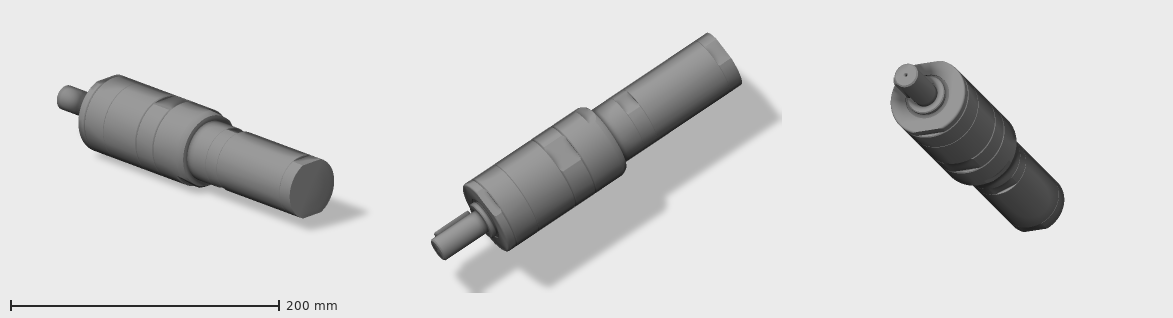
import cadquery as cq

LENGTH = 263.0

SHAFT_DIAMETER = 19.0
SHAFT_NECK_DIAMETER = 18.7
SHAFT_NECK_START = 36.0
SHAFT_CHAMFER = 1.0
CENTRE_HOLE_DIAMETER = 1.5
CENTRE_HOLE_DEPTH = 4.0
COUNTERSINK_DIAMETER = 3.5
COLLAR_DIAMETER = 30.0
COLLAR_START = 39.7
COLLAR_CHAMFER = 0.8
COLLAR_RECESS_DIAMETER = 20.0
COLLAR_RECESS_DEPTH = 0.8

KEY_START = 5.3
KEY_LENGTH = 31.8
KEY_WIDTH = 6.0
KEY_TOP = 12.0

HOUSING_DIAMETER = 60.0
HOUSING_START = 44.0
HOUSING_END = 153.9
NOSE_ROUND = 1.5
FACE_RECESS_DIAMETER = 35.0
FACE_RECESS_DEPTH = 1.0
REAR_ROUND_START = 149.0
REAR_FACE_DIAMETER = 55.0
REAR_ROUND_BULGE = 0.3
HOUSING_FLAT_DISTANCE = 55.0
HOUSING_JOINTS = (51.0, 105.7, 124.0)
HOUSING_SEAM = 71.3
REAR_FLAT_START = 144.5
REAR_FLAT_ANGLE = 35.0

MOTOR_DIAMETER = 46.5
MOTOR_FLAT_DISTANCE = 42.3
CAP_FLAT_DISTANCE = 42.5
MOTOR_JOINTS = (173.3, 185.2, 252.0)
MOTOR_FLAT_ANGLE = 20.0

HOUSING_JOINT_DEPTH = 0.8
MOTOR_JOINT_DEPTH = 0.3
HOUSING_SEAM_DEPTH = 0.4


def cylinder(diameter, start, end):
    """Cylinder about the X axis between two stations."""
    return cq.Workplane("YZ", origin=(start, 0, 0)).circle(diameter / 2).extrude(end - start)


def v_groove(diameter, station, depth):
    """Ring of triangular section that cuts a V-groove as wide as twice its depth."""
    radius = diameter / 2
    return (
        cq.Workplane("XY")
        .moveTo(station - depth, radius)
        .lineTo(station, radius - depth)
        .lineTo(station + depth, radius)
        .lineTo(station + depth, radius + depth)
        .lineTo(station - depth, radius + depth)
        .close()
        .revolve(360, (0, 0, 0), (1, 0, 0))
    )


def flat_pair(distance, start, end, angle=0.0):
    """Two opposite blocks that cut parallel flats, turned about X from +Z towards +Y."""
    block = HOUSING_DIAMETER
    centre = ((start + end) / 2, 0, 0)
    outer = cq.Workplane("XY", origin=centre).box(end - start, block, distance + block)
    kept_slab = cq.Workplane("XY", origin=centre).box(end - start, block, distance)
    return outer.cut(kept_slab).rotate((0, 0, 0), (1, 0, 0), -angle)


def centre_hole():
    """Drilled hole with a 45-degree countersink at the shaft tip."""
    drill_radius = CENTRE_HOLE_DIAMETER / 2
    sink_radius = COUNTERSINK_DIAMETER / 2
    return (
        cq.Workplane("XY")
        .lineTo(0, sink_radius)
        .lineTo(sink_radius - drill_radius, drill_radius)
        .lineTo(CENTRE_HOLE_DEPTH, drill_radius)
        .lineTo(CENTRE_HOLE_DEPTH, 0)
        .close()
        .revolve(360, (0, 0, 0), (1, 0, 0))
    )


def output_shaft():
    shaft = cylinder(SHAFT_DIAMETER, 0, SHAFT_NECK_START).faces("<X").chamfer(SHAFT_CHAMFER)
    neck = cylinder(SHAFT_NECK_DIAMETER, SHAFT_NECK_START, HOUSING_START)
    key = (
        cq.Workplane("XZ", origin=(KEY_START + KEY_LENGTH / 2, 0, 0))
        .slot2D(KEY_LENGTH, KEY_WIDTH)
        .extrude(-KEY_TOP)
    )
    return shaft.union(neck).union(key).cut(centre_hole())


def collar():
    """Collar round the shaft, on a narrower neck that reaches the floor of the face recess."""
    ring = cylinder(COLLAR_DIAMETER, COLLAR_START, HOUSING_START)
    ring = ring.faces("<X or >X").chamfer(COLLAR_CHAMFER)
    neck_diameter = COLLAR_DIAMETER - 2 * COLLAR_CHAMFER
    neck = cylinder(neck_diameter, HOUSING_START, HOUSING_START + FACE_RECESS_DEPTH)
    recess = cylinder(COLLAR_RECESS_DIAMETER, COLLAR_START, COLLAR_START + COLLAR_RECESS_DEPTH)
    return ring.union(neck).cut(recess)


def housing():
    radius = HOUSING_DIAMETER / 2
    rear_radius = REAR_FACE_DIAMETER / 2
    round_middle = (
        (REAR_ROUND_START + HOUSING_END) / 2,
        (radius + rear_radius) / 2 + REAR_ROUND_BULGE,
    )
    body = (
        cq.Workplane("XY")
        .moveTo(HOUSING_START, 0)
        .lineTo(HOUSING_START, radius - NOSE_ROUND)
        .radiusArc((HOUSING_START + NOSE_ROUND, radius), NOSE_ROUND)
        .lineTo(REAR_ROUND_START, radius)
        .threePointArc(round_middle, (HOUSING_END, rear_radius))
        .lineTo(HOUSING_END, 0)
        .close()
        .revolve(360, (0, 0, 0), (1, 0, 0))
    )
    body = body.cut(cylinder(FACE_RECESS_DIAMETER, HOUSING_START, HOUSING_START + FACE_RECESS_DEPTH))
    nose_joint, front_joint, rear_joint = HOUSING_JOINTS
    for station in HOUSING_JOINTS:
        body = body.cut(v_groove(HOUSING_DIAMETER, station, HOUSING_JOINT_DEPTH))
    body = body.cut(v_groove(HOUSING_DIAMETER, HOUSING_SEAM, HOUSING_SEAM_DEPTH))
    body = body.cut(flat_pair(HOUSING_FLAT_DISTANCE, HOUSING_START, nose_joint))
    body = body.cut(flat_pair(HOUSING_FLAT_DISTANCE, front_joint, rear_joint))
    return body.cut(flat_pair(HOUSING_FLAT_DISTANCE, REAR_FLAT_START, HOUSING_END, REAR_FLAT_ANGLE))


def motor():
    tube = cylinder(MOTOR_DIAMETER, HOUSING_END, LENGTH)
    for station in MOTOR_JOINTS:
        tube = tube.cut(v_groove(MOTOR_DIAMETER, station, MOTOR_JOINT_DEPTH))
    front_joint, rear_joint, cap_joint = MOTOR_JOINTS
    tube = tube.cut(flat_pair(MOTOR_FLAT_DISTANCE, front_joint, rear_joint, MOTOR_FLAT_ANGLE))
    return tube.cut(flat_pair(CAP_FLAT_DISTANCE, cap_joint, LENGTH))


result = housing().union(motor()).union(collar()).union(output_shaft())